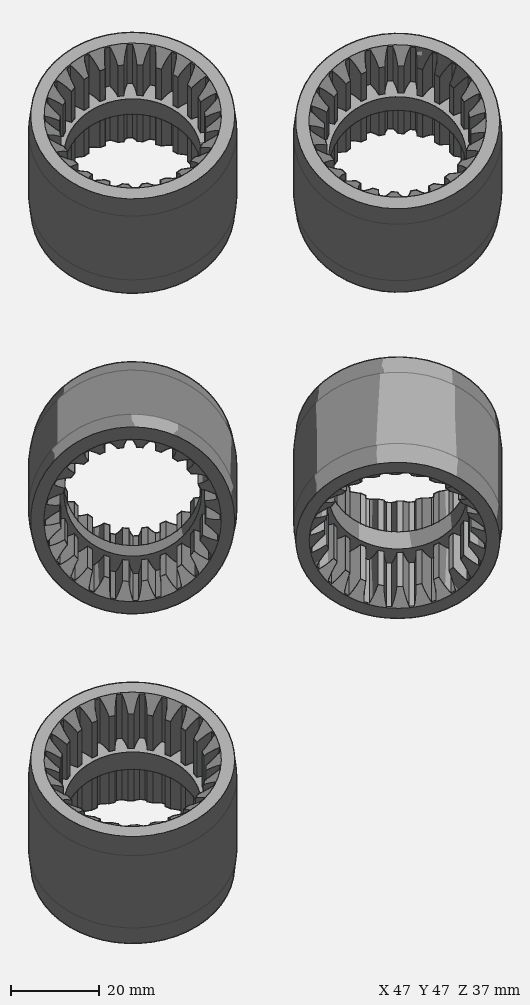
import cadquery as cq
import math

outer_radius = 23.5
end_radius = 23.0
length = 37.0
taper_length = 6.0

ring_radius = 15.5
ring_width = 6.0

tooth_count = 24
tooth_pitch = 360 / tooth_count
tip_radius = 16.5
root_radius = 19.75
spline_depth = (length - ring_width) / 2

space_tip_half_width = 1.45
space_mid_half_width = 1.1
space_root_half_width = 0.6
space_mid_radius = 18.42
bore_overlap = 0.38

lead_in_radius = 19.98
lead_in_depth = lead_in_radius - tip_radius

half_length = length / 2


def sleeve_body():
    """Turned sleeve: tapered outside, ring in the middle, tooth-tip bores and conical mouths."""
    half_ring = ring_width / 2
    outer_shoulder = half_length - taper_length
    inner_shoulder = half_length - lead_in_depth
    section = [
        (ring_radius, -half_ring),
        (tip_radius, -half_ring),
        (tip_radius, -inner_shoulder),
        (lead_in_radius, -half_length),
        (end_radius, -half_length),
        (outer_radius, -outer_shoulder),
        (outer_radius, outer_shoulder),
        (end_radius, half_length),
        (lead_in_radius, half_length),
        (tip_radius, inner_shoulder),
        (tip_radius, half_ring),
        (ring_radius, half_ring),
    ]
    body = cq.Workplane("XZ").polyline(section).close().revolve(360, (0, 0), (0, 1))
    return body.rotate((0, 0, 0), (0, 0, 1), tooth_pitch / 2)


def tooth_space():
    """One upper space between teeth, centred on +Y, with convex flanks and a root on the root circle."""
    inner_edge = tip_radius - bore_overlap
    root_corner = math.sqrt(root_radius**2 - space_root_half_width**2)
    return (
        cq.Workplane("XY")
        .moveTo(-space_tip_half_width, inner_edge)
        .lineTo(space_tip_half_width, inner_edge)
        .lineTo(space_tip_half_width, tip_radius)
        .threePointArc(
            (space_mid_half_width, space_mid_radius),
            (space_root_half_width, root_corner),
        )
        .threePointArc((0, root_radius), (-space_root_half_width, root_corner))
        .threePointArc(
            (-space_mid_half_width, space_mid_radius),
            (-space_tip_half_width, tip_radius),
        )
        .close()
        .extrude(spline_depth)
        .translate((0, 0, ring_width / 2))
    )


upper_space = tooth_space()
lower_space = upper_space.mirror("XY")

result = sleeve_body()
for index in range(tooth_count):
    for space in (upper_space, lower_space):
        result = result.cut(space.rotate((0, 0, 0), (0, 0, 1), index * tooth_pitch))